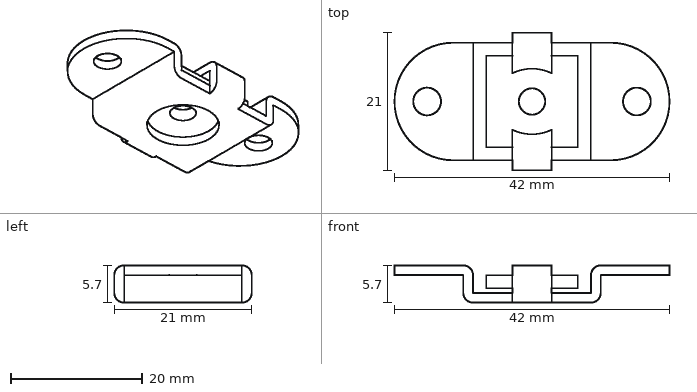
import cadquery as cq
import math

length = 42.0
clip_span = 21.0
height = 5.7
sheet = 1.5
tray_length = 21.0
ear_hole_diameter = 4.2
ear_hole_spacing = 32.0
base_hole_diameter = 11.0
clip_width = 6.0
clip_gap = 10.0
clip_notch_radius = 7.0
nut_side = 14.0
nut_thickness = 2.0
nut_hole_diameter = 4.0

strip_width = clip_span - 2 * sheet
wall_outer = tray_length / 2
wall_inner = wall_outer - sheet
ear_bottom = height - sheet
bend_middle = sheet * math.sqrt(0.5)


def make_strip():
    """Bent strip: a shallow tray with a round-ended ear on each side."""
    half_length = length / 2
    profile = (
        cq.Workplane("XZ", origin=(0, strip_width / 2, 0))
        .moveTo(0, 0)
        .lineTo(wall_inner, 0)
        .threePointArc((wall_inner + bend_middle, sheet - bend_middle), (wall_outer, sheet))
        .lineTo(wall_outer, ear_bottom)
        .lineTo(half_length, ear_bottom)
        .lineTo(half_length, height)
        .lineTo(wall_outer, height)
        .threePointArc((wall_outer - bend_middle, ear_bottom + bend_middle), (wall_inner, ear_bottom))
        .lineTo(wall_inner, sheet)
        .lineTo(0, sheet)
        .close()
    )
    half_strip = profile.extrude(strip_width)
    strip = half_strip.union(half_strip.mirror("YZ"))
    round_ended_outline = cq.Workplane("XY").slot2D(length, strip_width).extrude(height)
    return strip.intersect(round_ended_outline)


def make_clip():
    """C-shaped clip rising from the +Y edge of the base and reaching over the nut."""
    arm_outer = clip_span / 2
    arm_inner = arm_outer - sheet
    tip = clip_gap / 2 - clip_notch_radius + math.sqrt(clip_notch_radius**2 - (clip_width / 2) ** 2)
    clip = (
        cq.Workplane("YZ", origin=(-clip_width / 2, 0, 0))
        .moveTo(tip, height)
        .lineTo(arm_inner, height)
        .threePointArc((arm_inner + bend_middle, ear_bottom + bend_middle), (arm_outer, ear_bottom))
        .lineTo(arm_outer, sheet)
        .threePointArc((arm_inner + bend_middle, sheet - bend_middle), (arm_inner, 0))
        .lineTo(tip, 0)
        .lineTo(tip, sheet)
        .lineTo(arm_inner, sheet)
        .lineTo(arm_inner, ear_bottom)
        .lineTo(tip, ear_bottom)
        .close()
        .extrude(clip_width)
    )
    notch = (
        cq.Workplane("XY", origin=(0, clip_gap / 2 - clip_notch_radius, ear_bottom))
        .circle(clip_notch_radius)
        .extrude(sheet)
    )
    return clip.cut(notch)


def make_bracket():
    """Strip and both clips in one piece, with the ear holes and the base hole."""
    clip = make_clip()
    bracket = make_strip().union(clip).union(clip.mirror("XZ"))
    ear_holes = (
        cq.Workplane("XY")
        .pushPoints([(-ear_hole_spacing / 2, 0), (ear_hole_spacing / 2, 0)])
        .circle(ear_hole_diameter / 2)
        .extrude(height)
    )
    base_hole = cq.Workplane("XY").circle(base_hole_diameter / 2).extrude(sheet)
    return bracket.cut(ear_holes).cut(base_hole)


def make_nut():
    """Square nut plate whose top bears against the underside of the clips."""
    return (
        cq.Workplane("XY", origin=(0, 0, ear_bottom - nut_thickness))
        .rect(nut_side, nut_side)
        .circle(nut_hole_diameter / 2)
        .extrude(nut_thickness)
    )


bracket = make_bracket()
nut = make_nut()

result = cq.Compound.makeCompound([bracket.solids().val(), nut.val()])